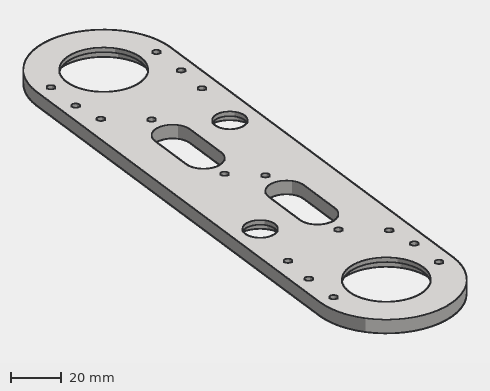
import cadquery as cq

length = 263.5
width = 63.5
thickness = 6.3
end_x = (length - width) / 2

bearing_diameter = 35.0
bearing_seat_diameter = 42.0
bearing_seat_depth = 4.2

screw_diameter = 3.5
screw_row_y = 25.0
inner_screw_x = 82.5
offset_screws = [(68.2, 22.7), (66.1, -24.0)]

round_diameter = 14.0
round_recess_diameter = 22.0
round_recess_depth = 4.2
round_center = (39.0, -19.0)

slot_length = 38.5
slot_width = 16.5
slot_center = (30.8, 6.3)
slot_screw_offset = 25.8


def with_opposites(points):
    """Add the half-turn image of every point about the plate center."""
    return points + [(-x, -y) for x, y in points]


def cut_holes(plate, points, diameter):
    """Cut through holes at the given points and at their half-turn images."""
    return plate.faces(">Z").workplane(origin=(0, 0, 0)).pushPoints(with_opposites(points)).hole(diameter)


def cut_recesses(plate, points, diameter, depth):
    """Recess the underside at the given points and at their half-turn images."""
    recesses = cq.Workplane("XY").pushPoints(with_opposites(points)).circle(diameter / 2).extrude(depth)
    return plate.cut(recesses)


def cut_slots(plate):
    """Cut the two through slots, which run along X."""
    return (
        plate.faces(">Z")
        .workplane(origin=(0, 0, 0))
        .pushPoints(with_opposites([slot_center]))
        .slot2D(slot_length, slot_width)
        .cutThruAll()
    )


slot_x, slot_y = slot_center
end_screws = [(x, y) for x in (inner_screw_x, end_x) for y in (-screw_row_y, screw_row_y)]
slot_screws = [(slot_x + side * slot_screw_offset, slot_y) for side in (-1, 1)]

result = cq.Workplane("XY").slot2D(length, width).extrude(thickness)
result = cut_holes(result, [(end_x, 0)], bearing_diameter)
result = cut_recesses(result, [(end_x, 0)], bearing_seat_diameter, bearing_seat_depth)
result = cut_holes(result, [round_center], round_diameter)
result = cut_recesses(result, [round_center], round_recess_diameter, round_recess_depth)
result = cut_slots(result)
result = cut_holes(result, end_screws + offset_screws + slot_screws, screw_diameter)